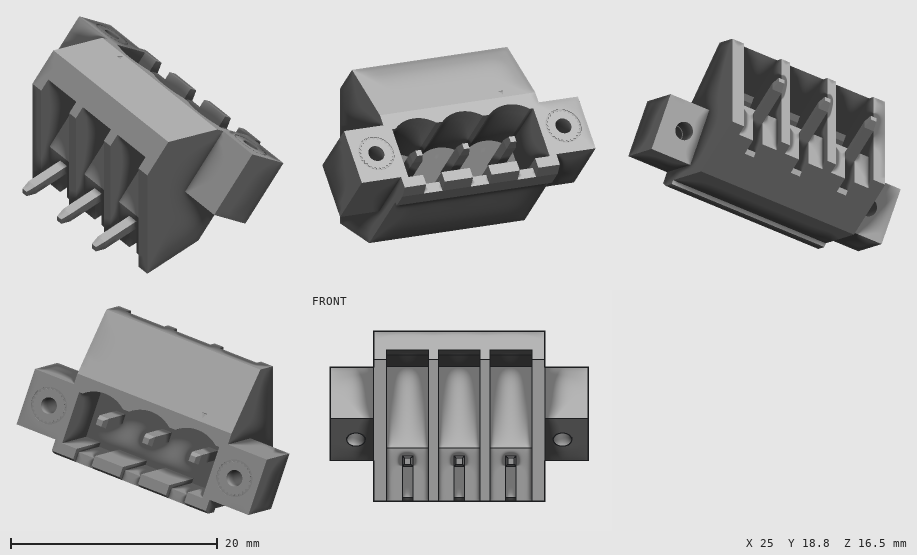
import cadquery as cq
import math

way_count = 3
pitch = 5.0
way_positions = [(i - (way_count - 1) / 2) * pitch for i in range(way_count)]
SQRT2 = math.sqrt(2)

housing_width = 16.6
housing_height = 16.5
board_face_height = 13.75
apex_y = housing_height - board_face_height
tip_y = 14.8
top_slope = math.tan(math.radians(23))

axis_y = 11.95
axis_z = 10.98
face_sum = axis_y + axis_z
mating = cq.Plane(origin=(0, axis_y, axis_z), xDir=(1, 0, 0), normal=(0, 1, 1))
outer_wall_v = (tip_y - axis_y) * SQRT2

lug_height = 0.4
lug_length = 3.0
lug_lead = 1.15

pocket_width = 15.1
pocket_depth = 7.5
pocket_near_v = -2.32
pocket_far_v = 2.98
scallop_width = 4.35
scallop_sag = 0.8
key_width = 1.98
key_recess = 0.45
notch_depth = lug_lead

overall_width = 25.0
flange_height = 5.75
flange_depth = 7.05
screw_spacing = 20.0
bore_diameter = 1.8
insert_bore = 1.62
insert_length = 4.0
insert_radius = 1.82
knurl_tip_radius = 1.75
knurl_root_radius = 1.52
knurl_teeth = 24
knurl_depth = 0.08

recess_width = 4.05
recess_mouth_z = 14.68
recess_ceiling_z = 14.2
recess_corner_z = 13.08
recess_floor_rise = 4.08
block_y = 1.1

contact_size = 1.0
contact_tip_size = 0.6
contact_taper = 1.0
leg_length = 4.0
leg_z = 3.9
contact_below_face = 1.3
groove_foot_y = 2.5
groove_foot_z = 0.38

mark_width = 0.5
mark_length = 0.5
mark_y = 8.28
mark_depth = 0.08


def prism(points, width, x=0.0):
    """Extrude a YZ outline to the given width, centred on x."""
    return cq.Workplane("YZ").polyline(points).close().extrude(width / 2, both=True).translate((x, 0, 0))


def mating_box(width, v_min, v_max, depth, x=0.0):
    """Box sunk from the mating face, spanning v_min to v_max across it."""
    return (
        cq.Workplane(mating)
        .center(x, (v_min + v_max) / 2)
        .rect(width, v_max - v_min)
        .extrude(-depth)
    )


def top_z(y):
    """Height of the sloping top of the housing."""
    return housing_height - (y - apex_y) * top_slope


def housing():
    ridge_y = (face_sum - housing_height - apex_y * top_slope) / (1 - top_slope)
    tip_z = face_sum - tip_y
    outline = [
        (0, 0),
        (0, board_face_height),
        (apex_y, housing_height),
        (ridge_y, top_z(ridge_y)),
        (tip_y, tip_z),
        (tip_y - tip_z, 0),
    ]
    return prism(outline, housing_width)


def mating_point(v, u):
    """YZ position of a point v across the mating face and u out from it."""
    return (axis_y + (u + v) / SQRT2, axis_z + (u - v) / SQRT2)


def lug():
    crest_v = outer_wall_v + lug_height
    outline = [
        mating_point(outer_wall_v, 0),
        mating_point(crest_v, -lug_lead),
        mating_point(crest_v, -lug_length),
        mating_point(pocket_far_v, -lug_length),
        mating_point(pocket_far_v, 0),
    ]
    return prism(outline, housing_width)


def pocket():
    """Mating pocket with a scallop, a keying recess and a rim notch at each way."""
    cavity = mating_box(pocket_width, pocket_near_v, pocket_far_v, pocket_depth)
    for x in way_positions:
        scallop = (
            cq.Workplane(mating)
            .moveTo(x - scallop_width / 2, pocket_near_v)
            .threePointArc((x, pocket_near_v - scallop_sag), (x + scallop_width / 2, pocket_near_v))
            .close()
            .extrude(-pocket_depth)
        )
        key = mating_box(key_width, 0, pocket_far_v + key_recess, pocket_depth, x)
        notch = mating_box(key_width, 0, outer_wall_v + 2 * lug_height, notch_depth, x)
        cavity = cavity.union(scallop).union(key).union(notch)
    return cavity


def screw_bore(x):
    """Through bore, narrowed by the insert, with the insert's knurled edge marked in the face."""
    face = cq.Workplane(mating).center(x, 0)
    bore = face.circle(insert_bore / 2).extrude(-flange_depth)
    below_insert = face.workplane(offset=-insert_length)
    clearance = below_insert.circle(bore_diameter / 2).extrude(insert_length - flange_depth)
    knurl = []
    for i in range(2 * knurl_teeth):
        radius = knurl_root_radius if i % 2 else knurl_tip_radius
        angle = math.pi * i / knurl_teeth
        knurl.append((radius * math.cos(angle), radius * math.sin(angle)))
    ring = face.circle(insert_radius).extrude(-knurl_depth)
    ring = ring.cut(face.polyline(knurl).close().extrude(-knurl_depth))
    return bore.union(clearance).union(ring)


def board_recess(x):
    """Recess in the board face: a sloping ceiling, an inclined floor and a block at the foot."""
    corner_y = recess_corner_z - recess_floor_rise
    ceiling_y = corner_y - (recess_ceiling_z - recess_corner_z) / top_slope
    bevel = recess_mouth_z - recess_ceiling_z
    outline = [
        (0, 0),
        (block_y, 0),
        (block_y, block_y + recess_floor_rise),
        (corner_y, recess_corner_z),
        (ceiling_y, recess_ceiling_z),
        (ceiling_y - bevel, recess_mouth_z),
        (0, recess_mouth_z),
    ]
    return prism(outline, recess_width, x)


def leg_groove(x):
    """Groove under the leg, closed by a 45 degree floor with a bevelled foot."""
    outline = [
        (0, 0),
        (groove_foot_y + groove_foot_z, 0),
        (groove_foot_y, groove_foot_z),
        (groove_foot_y + leg_z - groove_foot_z, leg_z),
        (0, leg_z),
    ]
    return prism(outline, contact_size, x)


def tapered_bar(plane, length):
    """Square bar growing along the plane's normal and tapering to a smaller end."""
    shank_length = length - contact_taper
    shank = cq.Workplane(plane).rect(contact_size, contact_size).extrude(shank_length)
    end = (
        cq.Workplane(plane)
        .workplane(offset=shank_length)
        .rect(contact_size, contact_size)
        .workplane(offset=contact_taper)
        .rect(contact_tip_size, contact_tip_size)
        .loft(ruled=True)
    )
    return shank.union(end)


def contact(x):
    """Board leg and mating pin, meeting at the bend inside the housing."""
    bend_y = axis_y - axis_z + leg_z
    bend = (x, bend_y, leg_z)
    pin_length = (axis_y - bend_y) * SQRT2 - contact_below_face
    leg = tapered_bar(cq.Plane(origin=bend, xDir=(1, 0, 0), normal=(0, -1, 0)), leg_length + bend_y)
    pin = tapered_bar(cq.Plane(origin=bend, xDir=(1, 0, 0), normal=(0, 1, 1)), pin_length)
    return leg.union(pin)


def way_mark(x):
    """Shallow triangle of even depth in the sloping top."""
    outline = [(x - mark_width / 2, mark_y), (x + mark_width / 2, mark_y), (x, mark_y + mark_length)]
    block = cq.Workplane("XY").polyline(outline).close().extrude(housing_height)
    y_end = mark_y + mark_length
    below = [(0, 0), (0, top_z(0) - mark_depth), (y_end, top_z(y_end) - mark_depth), (y_end, 0)]
    return block.cut(prism(below, housing_width))


result = housing().union(lug())
result = result.union(mating_box(overall_width, -flange_height / 2, flange_height / 2, flange_depth))
result = result.cut(pocket())
for side in (-1, 1):
    result = result.cut(screw_bore(side * screw_spacing / 2))
for way_x in way_positions:
    result = result.cut(board_recess(way_x)).cut(leg_groove(way_x))
for way_x in way_positions:
    result = result.union(contact(way_x))
result = result.cut(way_mark(way_positions[0]))